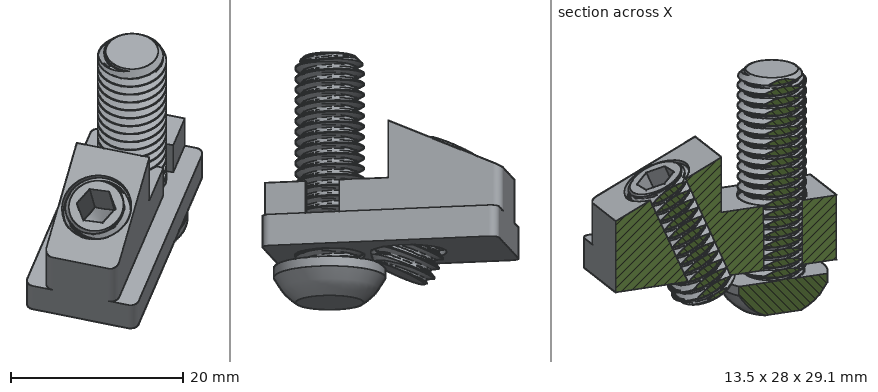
import cadquery as cq
import math

base_width = 13.5
block_length = 28.0
base_height = 3.7
stem_width = 8.8
ledge_height = 8.0
wedge_peak_height = 14.8
wedge_peak_y = -0.6
tilt_angle = 24.0
corner_radius = 1.0
slot_width = 4.0
clearance_diameter = 8.1

thread_diameter = 8.0
core_diameter = 6.45
thread_pitch = 1.25
crest_width = 0.12
ridge_width = 0.98
flank_spline_points = 6
envelope_margin = 1.0

button_y = 7.2
button_thread_length = 25.0
head_top_z = -1.5
head_diameter = 13.0
head_flat_diameter = 7.87
head_rim_height = 1.15
head_height = 4.1
head_dome_radius = 7.2
button_tip_diameter = 6.1
button_thread_start = 0.86

set_length = 16.0
set_protrusion = 0.4
set_top_y = -7.55
set_end_diameter = 6.38
set_thread_start = 0.12
hex_across_flats = 4.0
hex_turn = 4.0
hex_depth = 5.2
socket_tip_angle = 120.0

tilt = math.radians(tilt_angle)
front_y = -block_length / 2
rear_y = block_length / 2
wedge_front_height = wedge_peak_height - (wedge_peak_y - front_y) * math.tan(tilt)

slope_z_at_set_top = wedge_peak_height - (wedge_peak_y - set_top_y) * math.tan(tilt)
set_top_z = slope_z_at_set_top + set_protrusion / math.cos(tilt)
set_axis = cq.Vector(0, -math.sin(tilt), math.cos(tilt))
set_bottom = cq.Vector(0, set_top_y, set_top_z) - set_axis * set_length
set_plane = cq.Plane(origin=set_bottom.toTuple(), xDir=(1, 0, 0), normal=set_axis.toTuple())


def make_block():
    base = (
        cq.Workplane("XY")
        .rect(base_width, block_length)
        .extrude(base_height)
        .edges("|Z")
        .fillet(corner_radius)
    )
    stem = (
        cq.Workplane("YZ")
        .moveTo(front_y, base_height)
        .lineTo(rear_y, base_height)
        .lineTo(rear_y, ledge_height)
        .lineTo(wedge_peak_y, ledge_height)
        .lineTo(wedge_peak_y, wedge_peak_height)
        .lineTo(front_y, wedge_front_height)
        .close()
        .extrude(stem_width / 2, both=True)
        .edges("|Z and <Y")
        .fillet(corner_radius)
    )
    slot = (
        cq.Workplane("XY", origin=(0, button_y, base_height))
        .rect(stem_width, slot_width)
        .extrude(ledge_height - base_height)
    )
    button_hole = (
        cq.Workplane("XY", origin=(0, button_y, 0))
        .circle(clearance_diameter / 2)
        .extrude(ledge_height)
    )
    set_hole = cq.Workplane(set_plane).circle(clearance_diameter / 2).extrude(set_length)
    return base.union(stem.cut(slot)).cut(button_hole).cut(set_hole)


def polar_point(radius, angle):
    return (radius * math.cos(angle), radius * math.sin(angle))


def make_thread_turn(height):
    """Slice of right-hand threaded rod standing on the origin, its crest starting at +X.

    Every level cut through a single-start thread has the same outline, turned once per pitch:
    a crest arc and a core arc joined by two spiral flanks. Twisting it upwards makes the thread.
    """
    outer = thread_diameter / 2
    core = core_diameter / 2
    half_crest = math.pi * crest_width / thread_pitch
    half_ridge = math.pi * ridge_width / thread_pitch
    flank_angle = half_ridge - half_crest

    def falling_flank(t):
        return polar_point(outer + (core - outer) * t, half_crest + flank_angle * t)

    def rising_flank(t):
        return polar_point(core + (outer - core) * t, -half_ridge + flank_angle * t)

    return (
        cq.Workplane("XY")
        .moveTo(*polar_point(outer, -half_crest))
        .threePointArc(polar_point(outer, 0), falling_flank(0))
        .parametricCurve(falling_flank, N=flank_spline_points, makeWire=False)
        .threePointArc(polar_point(core, math.pi), rising_flank(0))
        .parametricCurve(rising_flank, N=flank_spline_points, makeWire=False)
        .wire()
        .twistExtrude(height, 360 * height / thread_pitch)
    )


def make_envelope(length, lower_tip_diameter, upper_tip_diameter):
    """Space for a rod standing on the origin, closing in at 45 degrees to its tip diameters."""
    lower_tip = lower_tip_diameter / 2
    upper_tip = upper_tip_diameter / 2
    wide = thread_diameter / 2 + envelope_margin
    return (
        cq.Workplane("XZ")
        .lineTo(lower_tip, 0)
        .lineTo(wide, wide - lower_tip)
        .lineTo(wide, length - (wide - upper_tip))
        .lineTo(upper_tip, length)
        .lineTo(0, length)
        .close()
        .revolve(360, (0, 0, 0), (0, 1, 0))
    )


def make_threaded_rod(length, crossing_height, lower_tip_diameter, upper_tip_diameter):
    """Threaded rod standing on the origin: stacked turns with the end turns cut back.

    The skins of the turns are joined into one closed shell, leaving out the flat faces
    where one turn rests on the next. crossing_height is where the crest crosses the +X side.
    """
    envelope = make_envelope(length, lower_tip_diameter, upper_tip_diameter)
    turn_count = math.ceil(length / thread_pitch)
    skin = []
    for index in range(turn_count):
        bottom = index * thread_pitch
        height = min(thread_pitch, length - bottom)
        turn = make_thread_turn(height).translate((0, 0, bottom))
        is_lowest = index == 0
        is_highest = index == turn_count - 1
        if is_lowest or is_highest:
            turn = turn.intersect(envelope)
        skin += turn.faces("not %Plane").vals()
        if is_lowest:
            skin += turn.faces("<Z").vals()
        if is_highest:
            skin += turn.faces(">Z").vals()
    rod = cq.Workplane(cq.Solid.makeSolid(cq.Shell.makeShell(skin)).fix())
    start_turn = -360 * crossing_height / thread_pitch
    return rod.rotate((0, 0, 0), (0, 0, 1), start_turn)


def make_button_screw():
    """Button-head screw standing upright, the underside of its head on the origin."""
    rod = make_threaded_rod(
        button_thread_length, button_thread_start, thread_diameter, button_tip_diameter
    )
    rim = head_diameter / 2
    head = (
        cq.Workplane("XZ")
        .lineTo(rim, 0)
        .lineTo(rim, -head_rim_height)
        .radiusArc((head_flat_diameter / 2, -head_height), head_dome_radius)
        .lineTo(0, -head_height)
        .close()
        .revolve(360, (0, 0, 0), (0, 1, 0))
    )
    return rod.union(head)


def make_set_screw():
    """Set screw standing upright on the origin, with a hexagon socket in its upper end."""
    hex_corner_radius = hex_across_flats / math.sqrt(3)
    cone_depth = hex_corner_radius / math.tan(math.radians(socket_tip_angle / 2))
    hexagon = (
        cq.Workplane("XY", origin=(0, 0, set_length))
        .transformed(rotate=(0, 0, hex_turn))
        .polygon(6, 2 * hex_corner_radius)
        .extrude(-hex_depth - cone_depth)
    )
    drill = (
        cq.Workplane("XZ", origin=(0, 0, set_length))
        .lineTo(hex_corner_radius, 0)
        .lineTo(hex_corner_radius, -hex_depth)
        .lineTo(0, -hex_depth - cone_depth)
        .close()
        .revolve(360, (0, 0, 0), (0, 1, 0))
    )
    socket = hexagon.intersect(drill)
    rod = make_threaded_rod(set_length, set_thread_start, set_end_diameter, set_end_diameter)
    return rod.cut(socket)


def make_joined_screws():
    """Both screws in place: the set screw's end runs into the rim of the button head."""
    button_screw = make_button_screw().translate((0, button_y, head_top_z))
    leaning = set_plane.location
    set_screw = cq.Workplane(make_set_screw().val().moved(leaning))
    return button_screw.union(set_screw)


block = make_block()
screws = make_joined_screws()

result = cq.Compound.makeCompound([block.val(), screws.val()])